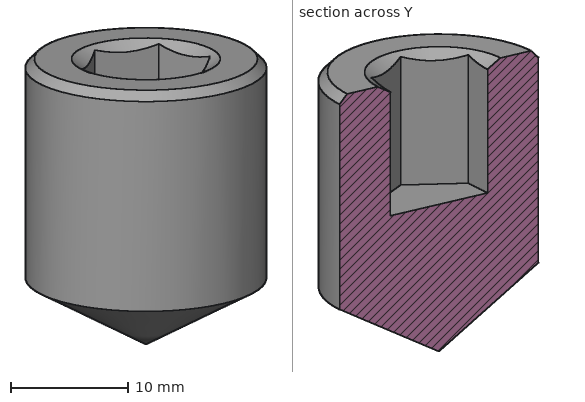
import cadquery as cq
import math

total_height = 25.4
body_diameter = 20.62
body_radius = body_diameter / 2
edge_chamfer = 0.8

point_slope = math.radians(30)
point_height = body_radius * math.tan(point_slope)

socket_across_flats = 10.0
socket_across_corners = socket_across_flats / math.cos(math.radians(30))
socket_depth = 12.0

countersink_diameter = 12.7
countersink_angle = 120.0


def make_body():
    """Revolve the pointed, chamfered half profile about Z; the tip is at the origin."""
    return (
        cq.Workplane("XZ")
        .lineTo(body_radius, point_height)
        .lineTo(body_radius, total_height - edge_chamfer)
        .lineTo(body_radius - edge_chamfer, total_height)
        .lineTo(0, total_height)
        .close()
        .revolve(360, (0, 0), (0, 1))
    )


def make_socket():
    """Hexagonal prism with corners on the Y axis and flats facing X."""
    return (
        cq.Workplane("XY", origin=(0, 0, total_height))
        .transformed(rotate=(0, 0, 90))
        .polygon(6, socket_across_corners)
        .extrude(-socket_depth)
    )


def make_countersink():
    """Full cone opening at the top face."""
    radius = countersink_diameter / 2
    depth = radius / math.tan(math.radians(countersink_angle / 2))
    return cq.Workplane("XY").add(
        cq.Solid.makeCone(radius, 0, depth, cq.Vector(0, 0, total_height), cq.Vector(0, 0, -1))
    )


result = make_body().cut(make_socket()).cut(make_countersink())